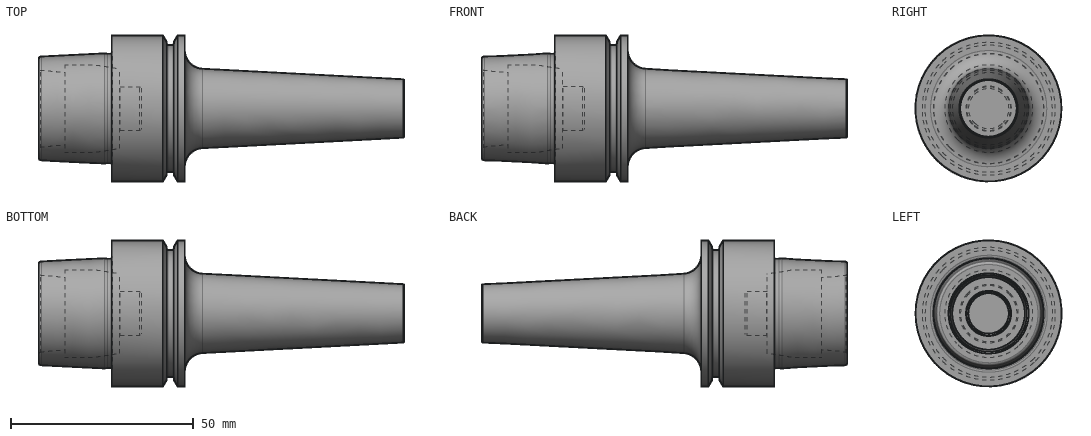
import cadquery as cq
import math

TOTAL_LENGTH = 100.0

TAPER_TIP_RADIUS = 14.2
TAPER_LENGTH = 18.0
TAPER_SLOPE = 1 / 20
TIP_ROUND = 0.8

UNDERCUT_RADIUS = 15.0
UNDERCUT_LEAD_ANGLE = 8.0
UNDERCUT_FACE_ANGLE = 8.0
UNDERCUT_FACE_RADIUS = 16.0
UNDERCUT_ROUND = 0.4

FLANGE_START = 20.0
FLANGE_END = 40.0
FLANGE_RADIUS = 20.0
GROOVE_CENTER = 36.0
GROOVE_MOUTH_WIDTH = 4.0
GROOVE_SLOT_WIDTH = 1.9
GROOVE_HALF_ANGLE = 30.0
GROOVE_FLOOR_RADIUS = 17.4
GROOVE_ROUND = 0.3

NOSE_END_RADIUS = 8.0
NOSE_ANGLE = 3.0
NOSE_CHAMFER = 0.3
NECK_ROUND = 5.0

MOUTH_RADIUS = 11.0
MOUTH_CHAMFER = 0.5
LIP_END_RADIUS = 9.9
LIP_END = 7.1
CHAMBER_RADIUS = 12.0
CHAMBER_DEPTH = 22.0
CHAMBER_TAPER_START = 15.0
CHAMBER_FLOOR_RADIUS = 10.9

HOLE_RADIUS = 6.0
HOLE_CHAMFER = 0.2
HOLE_DEPTH = 6.0
HOLE_BOTTOM_RADIUS = 5.5


def tan_deg(angle):
    return math.tan(math.radians(angle))


def add_round(profile, center, radius, start_angle, end_angle):
    """Run the profile to an arc's start and follow it; angles in degrees from +X."""
    def point(angle):
        turn = math.radians(angle)
        return (center[0] + radius * math.cos(turn), center[1] + radius * math.sin(turn))

    middle = point((start_angle + end_angle) / 2)
    return profile.lineTo(*point(start_angle)).threePointArc(middle, point(end_angle))


def add_taper(profile):
    """Tip round, then the taper widening towards the flange."""
    taper_angle = math.degrees(math.atan(TAPER_SLOPE))
    round_center_radius = TAPER_TIP_RADIUS + TAPER_SLOPE * TIP_ROUND
    round_center_radius -= TIP_ROUND / math.cos(math.radians(taper_angle))
    profile = add_round(profile, (TIP_ROUND, round_center_radius), TIP_ROUND, 180, 90 + taper_angle)
    return profile.lineTo(TAPER_LENGTH, TAPER_TIP_RADIUS + TAPER_SLOPE * TAPER_LENGTH)


def add_undercut(profile):
    """Shallow relief that also dips slightly into the flange face."""
    drop = TAPER_TIP_RADIUS + TAPER_SLOPE * TAPER_LENGTH - UNDERCUT_RADIUS
    profile = profile.lineTo(TAPER_LENGTH + drop / tan_deg(UNDERCUT_LEAD_ANGLE), UNDERCUT_RADIUS)
    center_radius = UNDERCUT_RADIUS + UNDERCUT_ROUND
    center_x = FLANGE_START + (UNDERCUT_FACE_RADIUS - center_radius) * tan_deg(UNDERCUT_FACE_ANGLE)
    center_x -= UNDERCUT_ROUND / math.cos(math.radians(UNDERCUT_FACE_ANGLE))
    profile = add_round(profile, (center_x, center_radius), UNDERCUT_ROUND, -90, UNDERCUT_FACE_ANGLE)
    return profile.lineTo(FLANGE_START, UNDERCUT_FACE_RADIUS)


def add_flange(profile):
    """Flange rim interrupted by a V groove with a narrow round-cornered slot."""
    mouth = GROOVE_MOUTH_WIDTH / 2
    slot = GROOVE_SLOT_WIDTH / 2
    slot_top = FLANGE_RADIUS - (mouth - slot) / tan_deg(GROOVE_HALF_ANGLE)
    corner_offset = slot - GROOVE_ROUND
    corner_radius = GROOVE_FLOOR_RADIUS + GROOVE_ROUND
    profile = profile.lineTo(FLANGE_START, FLANGE_RADIUS)
    profile = profile.lineTo(GROOVE_CENTER - mouth, FLANGE_RADIUS)
    profile = profile.lineTo(GROOVE_CENTER - slot, slot_top)
    profile = add_round(profile, (GROOVE_CENTER - corner_offset, corner_radius), GROOVE_ROUND, 180, 270)
    profile = add_round(profile, (GROOVE_CENTER + corner_offset, corner_radius), GROOVE_ROUND, 270, 360)
    profile = profile.lineTo(GROOVE_CENTER + slot, slot_top)
    profile = profile.lineTo(GROOVE_CENTER + mouth, FLANGE_RADIUS)
    return profile.lineTo(FLANGE_END, FLANGE_RADIUS)


def add_nose(profile):
    """Neck round tangent to the flange and to the nose cone, then the chamfered end."""
    slope = tan_deg(NOSE_ANGLE)
    center_x = FLANGE_END + NECK_ROUND
    center_radius = NOSE_END_RADIUS + slope * (TOTAL_LENGTH - center_x)
    center_radius += NECK_ROUND / math.cos(math.radians(NOSE_ANGLE))
    profile = add_round(profile, (center_x, center_radius), NECK_ROUND, 180, 270 - NOSE_ANGLE)
    profile = profile.lineTo(TOTAL_LENGTH - NOSE_CHAMFER, NOSE_END_RADIUS + slope * NOSE_CHAMFER)
    return profile.lineTo(TOTAL_LENGTH, NOSE_END_RADIUS - NOSE_CHAMFER)


def add_bore(profile):
    """Inner outline from the bottom of the blind hole back out to the bore mouth."""
    hole_end = CHAMBER_DEPTH + HOLE_DEPTH
    hole_bottom_chamfer = HOLE_RADIUS - HOLE_BOTTOM_RADIUS
    return (
        profile
        .lineTo(TOTAL_LENGTH, 0)
        .lineTo(hole_end, 0)
        .lineTo(hole_end, HOLE_BOTTOM_RADIUS)
        .lineTo(hole_end - hole_bottom_chamfer, HOLE_RADIUS)
        .lineTo(CHAMBER_DEPTH + HOLE_CHAMFER, HOLE_RADIUS)
        .lineTo(CHAMBER_DEPTH, HOLE_RADIUS + HOLE_CHAMFER)
        .lineTo(CHAMBER_DEPTH, CHAMBER_FLOOR_RADIUS)
        .lineTo(CHAMBER_TAPER_START, CHAMBER_RADIUS)
        .lineTo(LIP_END, CHAMBER_RADIUS)
        .lineTo(LIP_END, LIP_END_RADIUS)
        .lineTo(MOUTH_CHAMFER, MOUTH_RADIUS - MOUTH_CHAMFER)
    )


outline = cq.Workplane("XY").moveTo(0, MOUTH_RADIUS)
for add_section in (add_taper, add_undercut, add_flange, add_nose, add_bore):
    outline = add_section(outline)

result = outline.close().revolve(360, (0, 0, 0), (1, 0, 0))